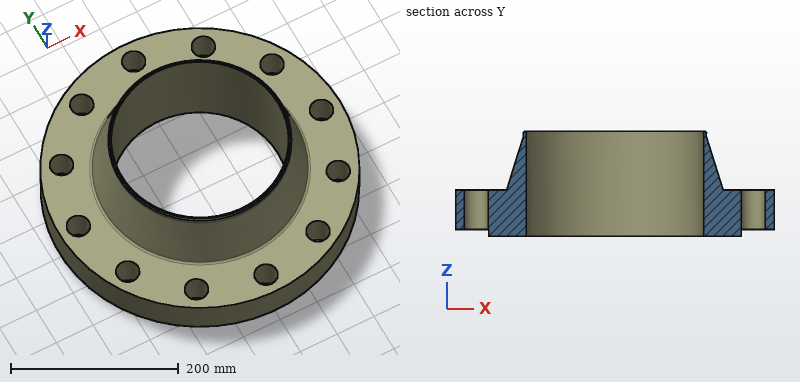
import cadquery as cq

flange_diameter = 381.0
flange_thickness = 47.2
flange_radius = flange_diameter / 2

face_radius = 301.5 / 2
face_height = 8.0

bolt_count = 12
bolt_circle_radius = 330.2 / 2
bolt_hole_diameter = 28.0

total_height = 125.5
bore_radius = 211.5 / 2
neck_radius = 219.0 / 2
hub_base_radius = 129.5
neck_straight_length = 6.5
weld_bevel_width = 2.0
weld_bevel_height = 1.5
hub_fillet_radius = 3.0

selection_margin = 0.5

flange_top = face_height + flange_thickness
cone_top = total_height - neck_straight_length


def flange_body():
    """Revolve the half section of plate, raised face and neck about Z."""
    section = (
        cq.Workplane("XZ")
        .moveTo(bore_radius, 0)
        .lineTo(face_radius, 0)
        .lineTo(face_radius, face_height)
        .lineTo(flange_radius, face_height)
        .lineTo(flange_radius, flange_top)
        .lineTo(hub_base_radius, flange_top)
        .lineTo(neck_radius, cone_top)
        .lineTo(neck_radius, total_height - weld_bevel_height)
        .lineTo(neck_radius - weld_bevel_width, total_height)
        .lineTo(bore_radius, total_height)
        .close()
    )
    return section.revolve(360, (0, 0, 0), (0, 1, 0))


def round_hub_root(body):
    """Fillet the circle where the conical hub meets the plate."""
    reach = hub_base_radius + selection_margin
    root_circle = cq.selectors.BoxSelector(
        (-reach, -reach, flange_top - selection_margin),
        (reach, reach, flange_top + selection_margin),
        boundingbox=True,
    )
    return body.edges(root_circle).fillet(hub_fillet_radius)


def bolt_holes():
    """Cylinders through the plate, evenly spaced on the bolt circle."""
    return (
        cq.Workplane("XY")
        .workplane(offset=face_height)
        .polarArray(bolt_circle_radius, 0, 360, bolt_count)
        .circle(bolt_hole_diameter / 2)
        .extrude(flange_thickness)
    )


result = round_hub_root(flange_body()).cut(bolt_holes())